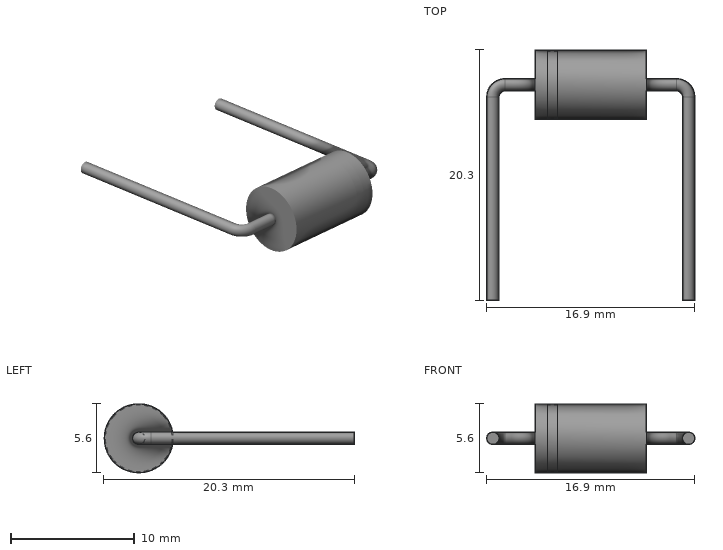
import cadquery as cq

body_length = 9.0
body_diameter = 5.6

band_offset = 1.0
band_width = 0.8
band_depth = 0.1

lead_diameter = 1.0
lead_span = 16.87
lead_reach = 17.47
bend_radius = 1.0

body_end = body_length / 2
body_radius = body_diameter / 2
lead_radius = lead_diameter / 2
lead_x = lead_span / 2 - lead_radius
bend_start_x = lead_x - bend_radius


def make_band():
    """Thin ring whose outside is flush with the body."""
    return (
        cq.Workplane("YZ")
        .workplane(offset=-body_end + band_offset)
        .circle(body_radius)
        .circle(body_radius - band_depth)
        .extrude(band_width)
    )


def make_body(band):
    """Solid cylinder with a groove that holds the band."""
    cylinder = cq.Workplane("YZ").circle(body_radius).extrude(body_end, both=True)
    return cylinder.cut(band)


def make_lead(side):
    """Bent wire that starts on the body's end face; side is -1 for -X, +1 for +X."""
    stub_length = bend_start_x - body_end
    leg_length = lead_reach - bend_radius
    stub = (
        cq.Workplane("YZ", origin=(side * body_end, 0, 0))
        .circle(lead_radius)
        .extrude(side * stub_length)
    )
    leg = (
        cq.Workplane("XZ", origin=(side * lead_x, -bend_radius, 0))
        .circle(lead_radius)
        .extrude(leg_length)
    )
    bend = (
        cq.Workplane("YZ", origin=(side * bend_start_x, 0, 0))
        .circle(lead_radius)
        .revolve(90, (-bend_radius, 0, 0), (-bend_radius, -side, 0))
    )
    return stub.union(bend).union(leg)


band = make_band()
body = make_body(band)
leads = [make_lead(side) for side in (-1, 1)]

result = cq.Compound.makeCompound([body.val(), band.val(), *[lead.val() for lead in leads]])